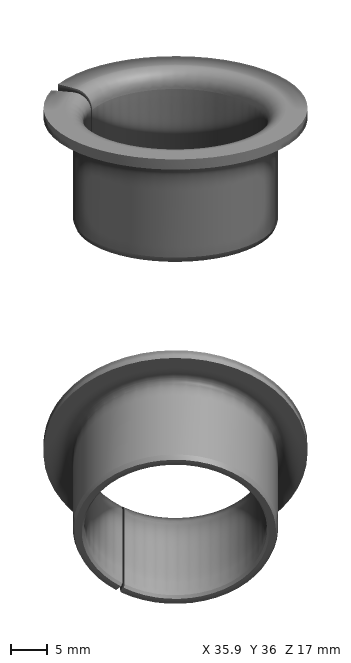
import cadquery as cq
import math

flange_diameter = 35.98
height = 17.0
bore_diameter = 24.97
wall = 1.5
outer_bend_radius = 1.0
lead_in_height = 0.75
lead_in_depth = 0.3
bore_chamfer_height = 0.43
bore_chamfer_depth = 0.3
slit_bore_width = 0.35
slit_half_angle = 10.0

flange_radius = flange_diameter / 2
bore_radius = bore_diameter / 2
body_radius = bore_radius + wall
inner_bend_radius = outer_bend_radius + wall
bend_centre_radius = body_radius + outer_bend_radius
bend_centre_z = height - inner_bend_radius
flange_underside = height - wall


def bend_midpoint(radius):
    """Middle of a quarter-round bend, as (radial distance, height)."""
    offset = radius * math.sqrt(0.5)
    return (bend_centre_radius - offset, bend_centre_z + offset)


def flanged_sleeve():
    """Full ring revolved from its wall section, before it is split."""
    section = (
        cq.Workplane("XZ")
        .moveTo(bore_radius, bore_chamfer_height)
        .lineTo(bore_radius + bore_chamfer_depth, 0)
        .lineTo(body_radius - lead_in_depth, 0)
        .lineTo(body_radius, lead_in_height)
        .lineTo(body_radius, bend_centre_z)
        .threePointArc(bend_midpoint(outer_bend_radius), (bend_centre_radius, flange_underside))
        .lineTo(flange_radius, flange_underside)
        .lineTo(flange_radius, height)
        .lineTo(bend_centre_radius, height)
        .threePointArc(bend_midpoint(inner_bend_radius), (bore_radius, bend_centre_z))
        .close()
    )
    ring = section.revolve(360, (0, 0, 0), (0, 1, 0))
    return ring.rotate((0, 0, 0), (0, 0, 1), 180)


def slit_wedge():
    """Wedge on the -X side that opens outwards through the wall and flange."""
    slope = math.tan(math.radians(slit_half_angle))
    apex_x = -bore_radius + slit_bore_width / 2 / slope
    mouth_x = -flange_diameter
    mouth_half_width = (apex_x - mouth_x) * slope
    return (
        cq.Workplane("XY")
        .moveTo(apex_x, 0)
        .lineTo(mouth_x, mouth_half_width)
        .lineTo(mouth_x, -mouth_half_width)
        .close()
        .extrude(height)
    )


result = flanged_sleeve().cut(slit_wedge())